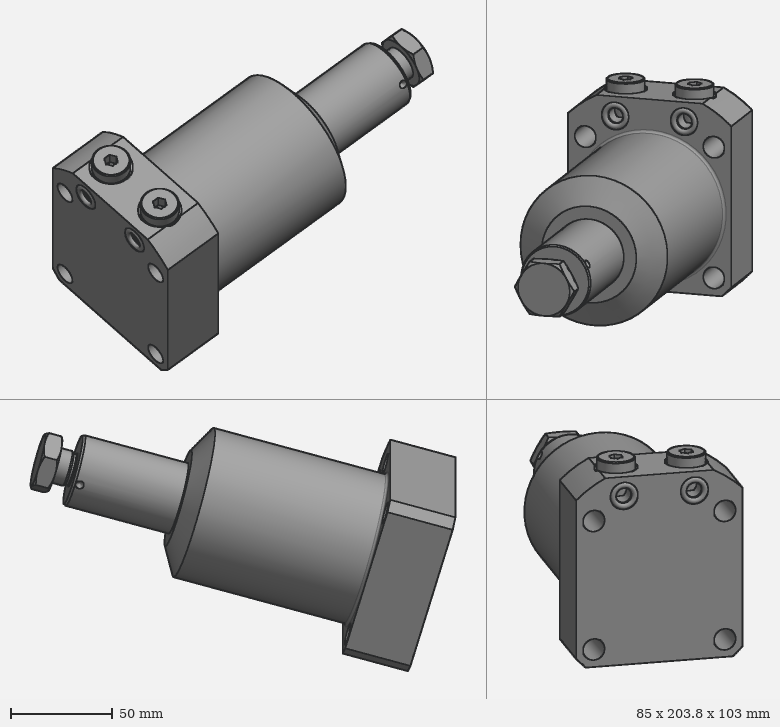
import cadquery as cq
import math


overall_length = 203.8
ring_protrusion = 0.92

flange_width = 85.0
flange_depth = 33.6
flange_top = 55.2
flange_bottom = -42.5
shoulder_radius = 61.7
bottom_chamfer = 4.9
bolt_hole_offset = 33.5
bolt_hole_diameter = 11.0

barrel_radius = 38.3
barrel_fillet = 1.5
barrel_end = 122.7
cone_end = 130.6
cone_end_radius = 24.7

rod_radius = 18.1
rod_end = 184.8
rod_chamfer_length = 1.2
rod_chamfer_depth = 0.6

spanner_dimple_count = 3
spanner_dimple_first_angle = 30
spanner_dimple_diameter = 4.3
spanner_dimple_angle = 90
spanner_dimple_y = 181.3

screw_end = overall_length - ring_protrusion
head_length = 8.8
head_across_flats = 26.9
head_chamfer_angle = 30
neck_radius = 9.0
neck_groove_radius = 8.0
neck_groove_length = 2.9
neck_groove_chamfer = 0.6

port_x = 18.0
port_z = 45.2
port_diameter = 8.0

ring_section_diameter = 3.0
ring_mean_radius = (port_diameter + ring_section_diameter) / 2
seat_radius = ring_mean_radius + ring_section_diameter / 2
seat_depth = ring_section_diameter - ring_protrusion

plug_y = flange_depth / 2
plug_head_radius = 9.5
plug_top = flange_top + 5.3
plug_head_chamfer = 0.6
plug_shank_radius = 6.5
plug_bottom = 42.0
recess_radius = 10.8
recess_floor = flange_top - 1.0
socket_across_flats = 6.1
socket_depth = 6.1
socket_tip_angle = 118


def cylinder_along_y(radius, x, z, start, end):
    """Cylinder parallel to Y between two Y positions."""
    return cq.Workplane("XZ", origin=(x, start, z)).circle(radius).extrude(start - end)


def revolve_about_y(outline):
    """Turn a closed (radius, y) outline about the Y axis."""
    return outline.close().revolve(360, (0, 0), (0, 1))


def make_flange():
    """Block with round upper shoulders centred on the rod axis and chamfered lower corners."""
    side = flange_width / 2
    shoulder_x = math.sqrt(shoulder_radius**2 - flange_top**2)
    shoulder_z = math.sqrt(shoulder_radius**2 - side**2)
    middle_angle = (math.atan2(flange_top, shoulder_x) + math.atan2(shoulder_z, side)) / 2
    middle_x = shoulder_radius * math.cos(middle_angle)
    middle_z = shoulder_radius * math.sin(middle_angle)
    block = (
        cq.Workplane("XZ")
        .moveTo(bottom_chamfer - side, flange_bottom)
        .lineTo(side - bottom_chamfer, flange_bottom)
        .lineTo(side, flange_bottom + bottom_chamfer)
        .lineTo(side, shoulder_z)
        .threePointArc((middle_x, middle_z), (shoulder_x, flange_top))
        .lineTo(-shoulder_x, flange_top)
        .threePointArc((-middle_x, middle_z), (-side, shoulder_z))
        .lineTo(-side, flange_bottom + bottom_chamfer)
        .close()
        .extrude(-flange_depth)
    )
    for x in (-bolt_hole_offset, bolt_hole_offset):
        for z in (-bolt_hole_offset, bolt_hole_offset):
            block = block.cut(cylinder_along_y(bolt_hole_diameter / 2, x, z, 0, flange_depth))
    return block


def make_barrel_and_rod():
    fillet_x = barrel_radius + barrel_fillet * (1 - math.sqrt(0.5))
    fillet_y = flange_depth + barrel_fillet * (1 - math.sqrt(0.5))
    outline = (
        cq.Workplane("XY")
        .moveTo(0, flange_depth)
        .lineTo(barrel_radius + barrel_fillet, flange_depth)
        .threePointArc((fillet_x, fillet_y), (barrel_radius, flange_depth + barrel_fillet))
        .lineTo(barrel_radius, barrel_end)
        .lineTo(cone_end_radius, cone_end)
        .lineTo(rod_radius, cone_end)
        .lineTo(rod_radius, rod_end - rod_chamfer_length)
        .lineTo(rod_radius - rod_chamfer_depth, rod_end)
        .lineTo(0, rod_end)
    )
    return revolve_about_y(outline)


def make_spanner_dimples():
    """Cones pointing at the rod axis that have the dimple diameter at the rod surface."""
    half_slope = math.tan(math.radians(spanner_dimple_angle / 2))
    depth = spanner_dimple_diameter / 2 / half_slope
    cone = (
        cq.Workplane("XY")
        .moveTo(rod_radius - depth, spanner_dimple_y)
        .lineTo(rod_radius + depth, spanner_dimple_y)
        .lineTo(rod_radius + depth, spanner_dimple_y + spanner_dimple_diameter)
        .close()
        .revolve(360, (0, spanner_dimple_y), (1, spanner_dimple_y))
    )
    dimples = []
    for index in range(spanner_dimple_count):
        angle = spanner_dimple_first_angle + index * 360 / spanner_dimple_count
        dimples.append(cone.rotate((0, 0, 0), (0, 1, 0), -angle))
    return dimples


def make_screw():
    """Hexagon head chamfered at both ends, on a neck with a groove next to the rod."""
    head_start = screw_end - head_length
    flat_radius = head_across_flats / 2
    corner_radius = head_across_flats / math.sqrt(3)
    chamfer = (corner_radius - flat_radius) * math.tan(math.radians(head_chamfer_angle))
    hexagon = (
        cq.Workplane("XZ", origin=(0, head_start, 0))
        .polygon(6, 2 * corner_radius)
        .extrude(-head_length)
    )
    chamfered_disc = revolve_about_y(
        cq.Workplane("XY")
        .moveTo(0, head_start)
        .lineTo(flat_radius, head_start)
        .lineTo(corner_radius, head_start + chamfer)
        .lineTo(corner_radius, screw_end - chamfer)
        .lineTo(flat_radius, screw_end)
        .lineTo(0, screw_end)
    )
    groove_end = rod_end + neck_groove_length
    neck = revolve_about_y(
        cq.Workplane("XY")
        .moveTo(0, rod_end)
        .lineTo(neck_groove_radius + neck_groove_chamfer, rod_end)
        .lineTo(neck_groove_radius, rod_end + neck_groove_chamfer)
        .lineTo(neck_groove_radius, groove_end - neck_radius + neck_groove_radius)
        .lineTo(neck_radius, groove_end)
        .lineTo(neck_radius, head_start)
        .lineTo(0, head_start)
    )
    return neck.union(hexagon.intersect(chamfered_disc))


def make_plug(x):
    """Round plug with a chamfered head."""
    shank = (
        cq.Workplane("XY", origin=(x, plug_y, plug_bottom))
        .circle(plug_shank_radius)
        .extrude(recess_floor - plug_bottom)
    )
    head = (
        cq.Workplane("XY", origin=(x, plug_y, recess_floor))
        .circle(plug_head_radius)
        .extrude(plug_top - recess_floor)
        .faces(">Z")
        .chamfer(plug_head_chamfer)
    )
    return shank.union(head)


def make_socket(x):
    """Hexagon socket in a plug, corners toward Y, with the cone left by its pilot drill below."""
    floor = plug_top - socket_depth
    drill_radius = socket_across_flats / 2
    tip = floor - drill_radius / math.tan(math.radians(socket_tip_angle / 2))
    hexagon = (
        cq.Workplane("XY")
        .workplane(offset=floor)
        .polygon(6, 2 * socket_across_flats / math.sqrt(3))
        .extrude(socket_depth)
        .rotate((0, 0, 0), (0, 0, 1), 90)
    )
    cone = (
        cq.Workplane("XZ")
        .moveTo(0, floor)
        .lineTo(drill_radius, floor)
        .lineTo(0, tip)
        .close()
        .revolve(360, (0, 0), (0, 1))
    )
    return hexagon.union(cone).translate((x, plug_y, 0))


def add_port(body, x):
    """Cut the passage, its two ring seats and the top recess, then add the plug and its socket."""
    recess = (
        cq.Workplane("XY", origin=(x, plug_y, recess_floor))
        .circle(recess_radius)
        .extrude(flange_top - recess_floor)
    )
    passage = cylinder_along_y(port_diameter / 2, x, port_z, 0, flange_depth)
    front_seat = cylinder_along_y(seat_radius, x, port_z, 0, seat_depth)
    rear_seat = cylinder_along_y(seat_radius, x, port_z, flange_depth - seat_depth, flange_depth)
    body = body.cut(recess).cut(passage).cut(front_seat).cut(rear_seat)
    return body.union(make_plug(x)).cut(make_socket(x))


def make_housing():
    body = make_flange().union(make_barrel_and_rod()).union(make_screw())
    for dimple in make_spanner_dimples():
        body = body.cut(dimple)
    for x in (-port_x, port_x):
        body = add_port(body, x)
    return body


def make_seal_ring(x, middle_y):
    """Round-section ring about a passage axis."""
    return (
        cq.Workplane("XY", origin=(x, middle_y, port_z))
        .center(ring_mean_radius, 0)
        .circle(ring_section_diameter / 2)
        .revolve(360, (-ring_mean_radius, 0), (-ring_mean_radius, 1))
    )


housing = make_housing()

ring_inset = seat_depth - ring_section_diameter / 2
seal_rings = []
for ring_x in (-port_x, port_x):
    for ring_y in (ring_inset, flange_depth - ring_inset):
        seal_rings.append(make_seal_ring(ring_x, ring_y).val())

result = cq.Compound.makeCompound([housing.val(), *seal_rings])